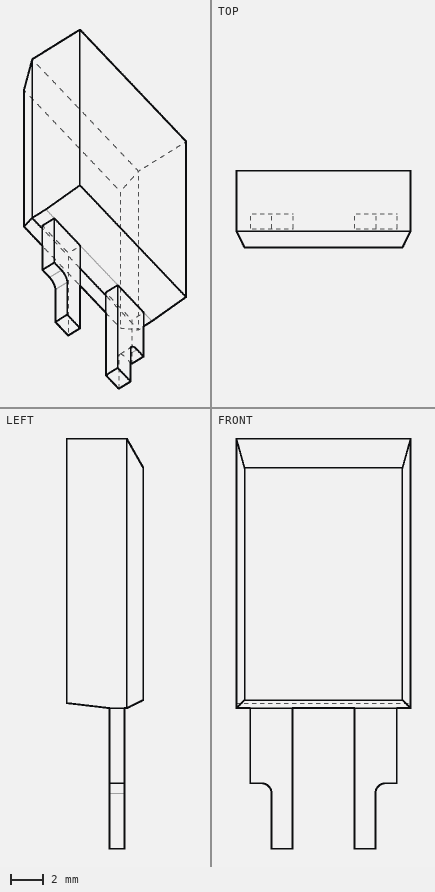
import cadquery as cq


housing_width = 10.67
housing_depth = 4.71
housing_height = 16.51
bevel_depth = 1.02
top_bevel = 1.8
side_bevel = 0.5
bottom_bevel = 0.5
rear_rise = 0.31

overall_height = 25.12
lead_length = overall_height - housing_height
lead_pitch = 5.08
lead_tip_width = 1.3
lead_root_width = 2 * lead_tip_width
lead_root_length = 4.6
lead_thickness = 0.92
lead_front_gap = 0.14
shoulder_radius = 0.6

front_face_y = -housing_depth
bevel_start_y = front_face_y + bevel_depth
lead_front_y = bevel_start_y + lead_front_gap
lead_rear_y = lead_front_y + lead_thickness


def make_side_profile_block():
    """Prism along X with the top and bottom bevels and the sloping rear underside."""
    return (
        cq.Workplane("YZ")
        .moveTo(0, rear_rise)
        .lineTo(0, housing_height)
        .lineTo(bevel_start_y, housing_height)
        .lineTo(front_face_y, housing_height - top_bevel)
        .lineTo(front_face_y, bottom_bevel)
        .lineTo(bevel_start_y, 0)
        .lineTo(lead_rear_y, 0)
        .close()
        .extrude(housing_width / 2, both=True)
    )


def make_plan_profile_block():
    """Prism along Z with the two side bevels."""
    half_width = housing_width / 2
    half_front = half_width - side_bevel
    return (
        cq.Workplane("XY")
        .moveTo(-half_width, 0)
        .lineTo(half_width, 0)
        .lineTo(half_width, bevel_start_y)
        .lineTo(half_front, front_face_y)
        .lineTo(-half_front, front_face_y)
        .lineTo(-half_width, bevel_start_y)
        .close()
        .extrude(housing_height)
    )


def make_housing():
    """The housing is the common volume of its side and plan profiles."""
    return make_side_profile_block().intersect(make_plan_profile_block())


def make_lead(side):
    """Flat lead butted against the underside; side is -1 for left and +1 for right."""
    inner_x = side * (lead_pitch - lead_tip_width) / 2
    tip_outer_x = inner_x + side * lead_tip_width
    root_outer_x = inner_x + side * lead_root_width
    return (
        cq.Workplane("XZ", origin=(0, lead_rear_y, 0))
        .moveTo(inner_x, 0)
        .lineTo(root_outer_x, 0)
        .lineTo(root_outer_x, -lead_root_length)
        .lineTo(tip_outer_x + side * shoulder_radius, -lead_root_length)
        .radiusArc(
            (tip_outer_x, -lead_root_length - shoulder_radius),
            -side * shoulder_radius,
        )
        .lineTo(tip_outer_x, -lead_length)
        .lineTo(inner_x, -lead_length)
        .close()
        .extrude(lead_thickness)
    )


housing = make_housing()
leads = [make_lead(side) for side in (-1, 1)]

result = cq.Compound.makeCompound([housing.val(), *[lead.val() for lead in leads]])